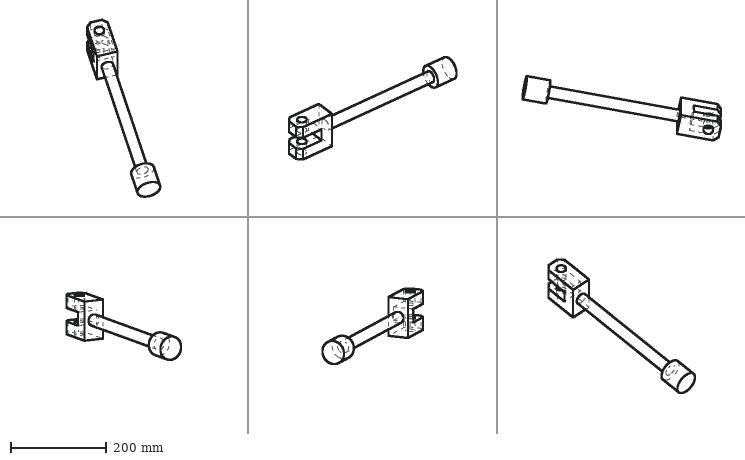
import cadquery as cq

total_length = 418.0

fork_length = 87.8
fork_width = 45.0
fork_height = 84.0
corner_chamfer = 10.0

slot_depth = 60.0
slot_height = 29.0

pin_hole_diameter = 20.0
pin_hole_from_tip = 25.0

rod_diameter = 25.0
end_diameter = 50.0
end_length = 50.0


def make_fork():
    """Slotted block with chamfered tips and a vertical pin hole."""
    block = (
        cq.Workplane("XY")
        .box(fork_length, fork_width, fork_height, centered=(False, True, True))
        .edges("|Z and <X")
        .chamfer(corner_chamfer)
    )
    slot = cq.Workplane("XY").box(
        slot_depth, fork_width, slot_height, centered=(False, True, True)
    )
    pin_hole = (
        cq.Workplane("XY")
        .center(pin_hole_from_tip, 0)
        .circle(pin_hole_diameter / 2)
        .extrude(fork_height / 2, both=True)
    )
    return block.cut(slot).cut(pin_hole)


def make_cylinder(start_x, end_x, diameter):
    """Solid cylinder on the X axis between two positions."""
    return (
        cq.Workplane("YZ", origin=(start_x, 0, 0))
        .circle(diameter / 2)
        .extrude(end_x - start_x)
    )


end_start = total_length - end_length
rod = make_cylinder(fork_length, end_start, rod_diameter)
round_end = make_cylinder(end_start, total_length, end_diameter)

result = make_fork().union(rod).union(round_end)